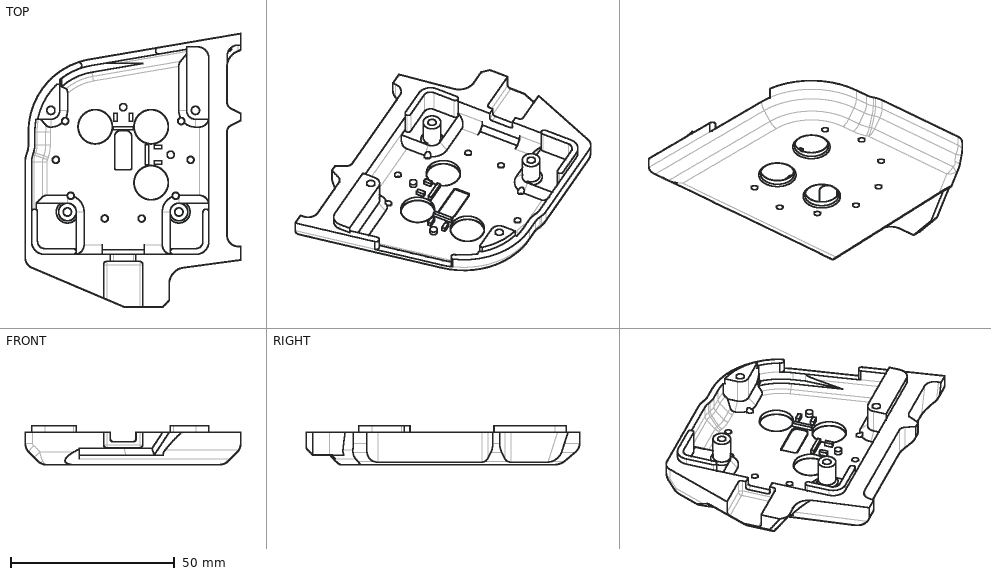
import cadquery as cq
import math

RIM_Z = 10.0
TOP_Z = 12.0
FLOOR_Z = 2.0
PLATFORM_Z = 4.4

LEFT_X = -30.0
UPPER_LEFT_X = -29.0
JOG_TOP_Y = 1.9
JOG_BOTTOM_Y = -1.0
RIGHT_X = 36.0
BACK_CORNER_Y = 37.1
BACK_SLOPE = 0.1707
FRONT_CORNER_Y = -32.2
FRONT_SLOPE = 0.135
SLANT_START_Y = -33.7
SLANT_SLOPE = 0.425
OVERALL_LENGTH = 83.67
NECK_FRONT_Y = BACK_CORNER_Y - OVERALL_LENGTH
BIG_CORNER_R = 22.5
JOG_R = 7.0
SLANT_CORNER_R = 3.5

FAR = 60.0
MID_Z = RIM_Z / 2
TOLERANCE = 0.01

EDGE_CHAMFER = 5.0
EDGE_R = 4.0
FRONT_CHAMFER = 3.0
FRONT_FULL_SLOPE_X = -13.5

WALL = 2.0
POCKET_RIGHT_X = 26.2
POCKET_FRONT_Y = -30.5
POCKET_CHAMFER = EDGE_CHAMFER + math.sqrt(2) * WALL - WALL - FLOOR_Z
POCKET_CHAMFER_R = EDGE_R - WALL
POCKET_FILLET_R = 3.0
POCKET_CORNER_R = 4.0

RIGHT_WALL_X = 31.8
MID_TAB_Y = 11.55
MID_TAB_TIP_HALF = 1.05
MID_TAB_ROOT_HALF = 3.2
MID_TAB_ROOT_R = 2.0
FRONT_TAB_Y = -28.0
FRONT_TAB_R = 3.3
BACK_NOTCH_Y = 33.5
BACK_NOTCH_LEAN = 3.2

NECK_LEFT_X = -20.0
NECK_RIGHT_X = 14.1
NECK_CORNER = 2.0
NECK_ROOT_R = 5.0
NECK_BOTTOM_Z = 3.0
NECK_CHAMFER = 2.0
NECK_LEAN = 4.6
CABLE_HALF_X = 6.0
CABLE_BACK_Y = -32.6
CABLE_FLOOR_Z = 5.2
CABLE_FILLET_R = 1.0
SLOT_HALF_X = 3.9
SLOT_FLOOR_Z = 7.1
SLOT_R = 0.8
LIP_HALF_X = 6.4
LIP_CHAMFER = 1.5

RIM_NOTCH_X = (-13.7, 10.9)
RIM_NOTCH_Z = 6.5
LEDGE_X = (-19.2, 7.0)
LEDGE_Y = (20.0, 27.9)
LEDGE_Z = 3.8

BOSS_D = 5.4
BOSS_R = BOSS_D / 2
BOSS_X = 17.05
BOSS_Y = -17.5
FOOT = 0.7
POST_X = 22.1
POST_Y = 13.55
POST_BACK_Y = 33.0
POST_BACK_R = 3.5
LEFT_POST_BACK_Y = 21.5
LEFT_POST_WALL = 2.5
SKIRT = PLATFORM_Z - FLOOR_Z
SKIRT_ANGLE = 45.0
SCREW_D = 2.5
SCREW_BOTTOM_Z = 4.0
RIB_WIDTH = 1.8
RIB_END_Y = -16.6
RIB_END_X = 14.4

BUTTON_D = 10.4
BUTTON_PITCH = 17.1
BUTTON_CHAMFER = 0.5
SMALL_D = 2.0
SMALL_HOLES = [(17.75, 10.3), (20.6, -1.57), (16.05, -12.55), (5.64, -19.5)]
PEG_D = 2.2
DETAIL_HEIGHT = 1.2
FENCE_HALF = 3.1
FENCE_WIDTH = 1.0
BLOCK = (1.1, 2.4)
BLOCK_OFFSET = 2.4
FENCE_TO_BLOCK = 3.4
BACK_HOLDER = {"fence_y": 8.1, "peg_y": 14.55}
RIGHT_HOLDER = {"fence_y": 7.25, "peg_y": 14.5}
RECESS_HALF_X = 2.6
RECESS_Y = (-4.6, 7.4)
RECESS_DEPTH = 0.5
RECESS_R = (0.5, 1.8)


def box(x0, x1, y0, y1, z0, z1):
    return cq.Workplane("XY").box(x1 - x0, y1 - y0, z1 - z0, centered=False).translate((x0, y0, z0))


def prism(points, z0, z1):
    return cq.Workplane("XY").workplane(offset=z0).polyline(points).close().extrude(z1 - z0)


def back_y(x, inset=0.0):
    """Back edge line, moved inwards by inset."""
    return BACK_CORNER_Y + BACK_SLOPE * (x - RIGHT_X) - inset * math.hypot(1, BACK_SLOPE)


def front_y(x):
    return FRONT_CORNER_Y + FRONT_SLOPE * (x - RIGHT_X)


def slant_y(x):
    return SLANT_START_Y - SLANT_SLOPE * (x - LEFT_X)


def left_back_prism(inset, right_x, z0, z1):
    """Prism with the stepped left side and rounded back corner; it runs on past the front."""
    upper_x = UPPER_LEFT_X + inset
    lower_x = LEFT_X + inset
    points = [
        (lower_x, -FAR),
        (right_x, -FAR),
        (right_x, back_y(right_x, inset)),
        (upper_x, back_y(upper_x, inset)),
        (upper_x, JOG_TOP_Y),
        (lower_x, JOG_BOTTOM_Y),
    ]
    solid = prism(points, z0, z1)
    middle_z = (z0 + z1) / 2
    solid = solid.edges(near(*points[3], middle_z)).fillet(BIG_CORNER_R - inset)
    for jog in points[4:]:
        solid = solid.edges(near(*jog, middle_z)).fillet(JOG_R)
    return solid


def near(x, y, z=MID_Z):
    return cq.selectors.NearestToPointSelector((x, y, z))


def side_edges(solid, z):
    """Edges of the horizontal plane at height z, except the one on the far front end."""
    low = (-FAR - 1, -FAR + 1, z - TOLERANCE)
    high = (FAR + 1, FAR + 1, z + TOLERANCE)
    return solid.edges(cq.selectors.BoxSelector(low, high))


def oblique_prism(solid, shift_x, shift_y):
    """Solid with the same top as a prism, its bottom shifted sideways."""
    low = solid.val().BoundingBox().zmin
    high = solid.val().BoundingBox().zmax
    wire = solid.faces("<Z").wires().val().translate(cq.Vector(shift_x, shift_y, 0))
    return cq.Workplane(cq.Solid.extrudeLinear(wire, [], cq.Vector(-shift_x, -shift_y, high - low)))


def behind_front_line(outset):
    """Block behind the front line moved outwards, with its lower front edge selected."""
    drop = outset * math.hypot(1, FRONT_SLOPE)
    left = (-FAR, front_y(-FAR) - drop)
    right = (FAR, front_y(FAR) - drop)
    block = prism([left, right, (FAR, FAR), (-FAR, FAR)], 0, RIM_Z)
    return block.edges(near(0, front_y(0) - drop, 0))


def make_shell():
    """Solid bowl shape, rounded off on its underside."""
    shell = left_back_prism(0, RIGHT_X, 0, RIM_Z)
    shell = side_edges(shell, 0).chamfer(EDGE_CHAMFER)
    shell = side_edges(shell, EDGE_CHAMFER).fillet(EDGE_R)
    shell = side_edges(shell, 0).fillet(EDGE_R)

    slant = prism([(-FAR, slant_y(-FAR)), (FAR, slant_y(FAR)), (FAR, FAR), (-FAR, FAR)], 0, RIM_Z)
    slant = slant.edges(near(0, slant_y(0), 0)).fillet(EDGE_R)
    front = behind_front_line(0).chamfer(FRONT_CHAMFER)
    front = front.edges(near(0, front_y(0), FRONT_CHAMFER)).fillet(EDGE_R)
    rise = RIM_Z - FRONT_CHAMFER - TOLERANCE
    full_slope = behind_front_line(rise).chamfer(FRONT_CHAMFER + rise)
    front = front.union(full_slope.intersect(box(-FAR, FRONT_FULL_SLOPE_X, -FAR, FAR, 0, RIM_Z)))
    shell = shell.intersect(slant)
    reach = SLANT_CORNER_R
    corner = cq.selectors.BoxSelector(
        (LEFT_X - reach, SLANT_START_Y - reach, TOLERANCE + FRONT_CHAMFER / 2),
        (LEFT_X + reach, SLANT_START_Y + TOLERANCE, RIM_Z),
    )
    shell = shell.edges(corner).fillet(SLANT_CORNER_R)
    return shell.intersect(front)


def make_neck():
    """Cable neck: it follows the slanted side and its right side leans in towards the bottom."""
    inner_y = front_y(RIGHT_X)
    tip_x = LEFT_X + (SLANT_START_Y - NECK_FRONT_Y) / SLANT_SLOPE
    block = prism(
        [
            (NECK_LEFT_X, inner_y),
            (NECK_LEFT_X, slant_y(NECK_LEFT_X)),
            (tip_x, NECK_FRONT_Y),
            (FAR, NECK_FRONT_Y),
            (FAR, inner_y),
        ],
        NECK_BOTTOM_Z,
        RIM_Z,
    )
    middle_x = (NECK_LEFT_X + tip_x) / 2
    block = block.edges(near(middle_x, slant_y(middle_x), NECK_BOTTOM_Z)).chamfer(NECK_CHAMFER)
    block = block.edges(near((tip_x + FAR) / 2, NECK_FRONT_Y, NECK_BOTTOM_Z)).chamfer(NECK_CHAMFER)
    side = prism(
        [
            (-FAR, inner_y),
            (-FAR, NECK_FRONT_Y),
            (NECK_RIGHT_X - NECK_CORNER, NECK_FRONT_Y),
            (NECK_RIGHT_X, NECK_FRONT_Y + NECK_CORNER),
            (NECK_RIGHT_X, front_y(NECK_RIGHT_X)),
            (RIGHT_X, inner_y),
        ],
        NECK_BOTTOM_Z,
        RIM_Z,
    )
    side = side.edges(near(NECK_RIGHT_X, front_y(NECK_RIGHT_X))).fillet(NECK_ROOT_R)
    return block.intersect(oblique_prism(side, -NECK_LEAN, 0))


def right_gaps():
    """Cutter for the gaps between the right-hand tabs; the back end of it leans."""
    beyond = RIGHT_X + WALL
    tab_low = MID_TAB_Y - MID_TAB_ROOT_HALF
    tab_high = MID_TAB_Y + MID_TAB_ROOT_HALF
    front_gap = prism(
        [
            (RIGHT_WALL_X, FRONT_TAB_Y),
            (beyond, FRONT_TAB_Y),
            (beyond, MID_TAB_Y - MID_TAB_TIP_HALF),
            (RIGHT_X, MID_TAB_Y - MID_TAB_TIP_HALF),
            (RIGHT_WALL_X, tab_low),
        ],
        0,
        RIM_Z,
    )
    front_gap = front_gap.edges(near(RIGHT_WALL_X, FRONT_TAB_Y)).fillet(FRONT_TAB_R)
    front_gap = front_gap.edges(near(RIGHT_WALL_X, tab_low)).fillet(MID_TAB_ROOT_R)
    split_y = (tab_high + BACK_NOTCH_Y) / 2
    back_gap = prism(
        [
            (RIGHT_WALL_X, split_y),
            (RIGHT_WALL_X, tab_high),
            (RIGHT_X, MID_TAB_Y + MID_TAB_TIP_HALF),
            (beyond, MID_TAB_Y + MID_TAB_TIP_HALF),
            (beyond, split_y),
        ],
        0,
        RIM_Z,
    )
    back_gap = back_gap.edges(near(RIGHT_WALL_X, tab_high)).fillet(MID_TAB_ROOT_R)
    notch = box(RIGHT_WALL_X, beyond, split_y - BACK_NOTCH_LEAN, BACK_NOTCH_Y, 0, RIM_Z)
    notch = notch.edges(near(RIGHT_WALL_X, BACK_NOTCH_Y)).fillet(FRONT_TAB_R)
    return front_gap.union(back_gap).union(oblique_prism(notch, 0, -BACK_NOTCH_LEAN))


def make_pocket():
    """Pocket with walls parallel to the outside, plus the cable lip and the back ledge."""
    bowl = left_back_prism(WALL, FAR, FLOOR_Z, RIM_Z)
    bowl = side_edges(bowl, FLOOR_Z).chamfer(POCKET_CHAMFER)
    bowl = side_edges(bowl, FLOOR_Z + POCKET_CHAMFER).fillet(POCKET_CHAMFER_R)
    bowl = side_edges(bowl, FLOOR_Z).fillet(POCKET_CHAMFER_R)
    limits = box(-FAR, POCKET_RIGHT_X, POCKET_FRONT_Y, FAR, FLOOR_Z, RIM_Z)
    limits = limits.edges(near(POCKET_RIGHT_X, 0, FLOOR_Z)).fillet(POCKET_FILLET_R)
    limits = limits.edges(near(0, POCKET_FRONT_Y, FLOOR_Z)).fillet(POCKET_FILLET_R)
    lip = box(-LIP_HALF_X, LIP_HALF_X, POCKET_FRONT_Y, POCKET_FRONT_Y + POCKET_FILLET_R, FLOOR_Z, RIM_Z)
    lip = lip.edges(near(0, POCKET_FRONT_Y, FLOOR_Z)).chamfer(LIP_CHAMFER)
    ledge = left_back_prism(WALL, FAR, LEDGE_Z, RIM_Z).intersect(box(*LEDGE_X, *LEDGE_Y, LEDGE_Z, RIM_Z))
    return bowl.intersect(limits).union(lip).union(ledge)


def with_skirt(post):
    """Post standing on a 45 degree skirt."""
    skirt = post.faces("<Z").wires().toPending().offset2D(SKIRT)
    skirt = cq.Workplane("XY").add(skirt.vals()).toPending().extrude(SKIRT, taper=SKIRT_ANGLE)
    return post.union(skirt)


def right_post():
    left_x = POST_X - BOSS_R
    front = POST_Y - BOSS_R
    post = box(left_x, POCKET_RIGHT_X, front, POST_BACK_Y, FLOOR_Z, TOP_Z)
    post = post.edges(near(left_x, front)).fillet(BOSS_R - TOLERANCE)
    post = post.edges(near(POCKET_RIGHT_X, POST_BACK_Y)).fillet(POST_BACK_R)
    post = post.union(box(left_x, POCKET_RIGHT_X, POST_Y, FAR, FLOOR_Z, RIM_Z))
    return with_skirt(post)


def left_post():
    right_x = BOSS_R - POST_X
    front = POST_Y - BOSS_R
    post = box(-FAR, right_x, front, LEFT_POST_BACK_Y, FLOOR_Z, TOP_Z)
    post = post.edges(near(right_x, front)).fillet(BOSS_R - TOLERANCE)
    post = post.union(box(-FAR, right_x, POST_Y, FAR, FLOOR_Z, RIM_Z))
    inside = left_back_prism(LEFT_POST_WALL, FAR, RIM_Z, TOP_Z)
    post = post.cut(box(-FAR, 0, 0, FAR, RIM_Z, TOP_Z).cut(inside))
    return with_skirt(post)


def corner_mount(side, wall_x):
    """Platform, boss and L-shaped rib in a front corner; side is -1 on the left and 1 on the right."""
    inner_x = side * (BOSS_X - BOSS_R)
    back = BOSS_Y + BOSS_R
    x0, x1 = sorted((inner_x, side * FAR))
    platform = box(x0, x1, -FAR, back, FLOOR_Z, PLATFORM_Z)
    platform = platform.edges(near(inner_x, back, PLATFORM_Z / 2)).fillet(BOSS_R)
    footprint = platform.faces("<Z").wires().toPending().extrude(TOP_Z, combine=False)
    mount = with_skirt(platform)

    boss = cq.Workplane("XY").workplane(offset=FLOOR_Z).center(side * BOSS_X, BOSS_Y).circle(BOSS_R)
    boss = boss.extrude(TOP_Z - FLOOR_Z)
    foot = cq.Solid.makeCone(BOSS_R + FOOT, BOSS_R, FOOT, pnt=cq.Vector(side * BOSS_X, BOSS_Y, PLATFORM_Z))
    mount = mount.union(boss).union(cq.Workplane(foot).intersect(footprint))

    x0, x1 = sorted((side * RIB_END_X, wall_x))
    rib = box(x0, x1, POCKET_FRONT_Y, RIB_END_Y, FLOOR_Z, TOP_Z)
    rib = rib.edges(near(wall_x, POCKET_FRONT_Y)).fillet(POCKET_CORNER_R)
    bay_x = wall_x - side * RIB_WIDTH
    bay_y = POCKET_FRONT_Y + RIB_WIDTH
    b0, b1 = sorted((bay_x, 0))
    bay = box(b0, b1, bay_y, 0, FLOOR_Z, TOP_Z)
    bay = bay.edges(near(bay_x, bay_y)).fillet(POCKET_CORNER_R - RIB_WIDTH)
    rib = rib.cut(bay)
    rib = rib.edges("|Z").edges(">Y").fillet(RIB_WIDTH / 2 - TOLERANCE)
    rib = rib.edges("|Z").edges("<X" if side > 0 else ">X").fillet(RIB_WIDTH / 2 - TOLERANCE)
    f0, f1 = sorted((wall_x, wall_x - side * POCKET_CORNER_R))
    corner_fill = box(f0, f1, POCKET_FRONT_Y, POCKET_FRONT_Y + POCKET_CORNER_R, FLOOR_Z, RIM_Z).cut(bay)
    return mount.union(rib).union(corner_fill)


def cable_channel():
    channel = box(-CABLE_HALF_X, CABLE_HALF_X, -FAR, CABLE_BACK_Y, CABLE_FLOOR_Z, RIM_Z)
    channel = channel.edges("|Z").edges(">Y").fillet(CABLE_FILLET_R)
    channel = channel.faces("<Z").edges("not <Y").fillet(CABLE_FILLET_R - TOLERANCE)
    slot = box(-SLOT_HALF_X, SLOT_HALF_X, CABLE_BACK_Y - 1, POCKET_FRONT_Y + 1, SLOT_FLOOR_Z, RIM_Z)
    slot = slot.edges("|Y").edges("<Z").fillet(SLOT_R)
    return channel.union(slot)


def rim_notch():
    left_x, right_x = RIM_NOTCH_X
    middle = WALL / 2
    arc_r = BIG_CORNER_R - middle
    arc_x = UPPER_LEFT_X + BIG_CORNER_R
    arc_y = back_y(arc_x, BIG_CORNER_R)
    left_y = arc_y + math.sqrt(arc_r**2 - (left_x - arc_x) ** 2)
    ends = pins([(left_x, left_y), (right_x, back_y(right_x, middle))], WALL, RIM_NOTCH_Z, RIM_Z)
    return box(left_x, right_x, LEDGE_Y[0], FAR, RIM_NOTCH_Z, RIM_Z).cut(ends)


def pins(points, diameter, z0, z1):
    return cq.Workplane("XY").workplane(offset=z0).pushPoints(points).circle(diameter / 2).extrude(z1 - z0)


def floor_recess():
    low, high = RECESS_Y
    recess = box(-RECESS_HALF_X, RECESS_HALF_X, low, high, FLOOR_Z - RECESS_DEPTH, FLOOR_Z)
    recess = recess.edges("|Z").edges("<Y").fillet(RECESS_R[0])
    return recess.edges("|Z").edges(">Y").fillet(RECESS_R[1])


def led_holder(fence_y, peg_y):
    """Fence, two blocks and a peg on the floor, in line along Y."""
    top = FLOOR_Z + DETAIL_HEIGHT
    holder = box(-FENCE_HALF, FENCE_HALF, fence_y - FENCE_WIDTH / 2, fence_y + FENCE_WIDTH / 2, FLOOR_Z, top)
    width, length = BLOCK
    block_y = fence_y + FENCE_TO_BLOCK
    for x in (-BLOCK_OFFSET, BLOCK_OFFSET):
        holder = holder.union(
            box(x - width / 2, x + width / 2, block_y - length / 2, block_y + length / 2, FLOOR_Z, top)
        )
    return holder.union(pins([(0, peg_y)], PEG_D, FLOOR_Z, top))


def button_holes():
    """Three holes on the corners of a square, widened at the underside."""
    half = BUTTON_PITCH / 2
    radius = BUTTON_D / 2
    centres = [(-half, half), (half, half), (half, -half)]
    holes = pins(centres, BUTTON_D, 0, TOP_Z)
    for x, y in centres:
        cone = cq.Solid.makeCone(radius + BUTTON_CHAMFER, radius, BUTTON_CHAMFER, pnt=cq.Vector(x, y, 0))
        holes = holes.union(cq.Workplane(cone))
    return holes


def both_sides(points):
    return [(side * x, y) for x, y in points for side in (-1, 1)]


shell = make_shell().union(make_neck()).cut(right_gaps())

islands = right_post().union(left_post())
islands = islands.union(corner_mount(-1, LEFT_X + WALL)).union(corner_mount(1, POCKET_RIGHT_X))
cavity = make_pocket().cut(islands)
above_rim = islands.intersect(box(-FAR, FAR, -FAR, FAR, RIM_Z, TOP_Z))
result = shell.cut(cavity).union(above_rim)

result = result.cut(cable_channel()).cut(rim_notch()).cut(floor_recess())
result = result.union(led_holder(**BACK_HOLDER))
result = result.union(led_holder(**RIGHT_HOLDER).rotate((0, 0, 0), (0, 0, 1), -90))

result = result.cut(button_holes())
result = result.cut(pins(both_sides(SMALL_HOLES), SMALL_D, 0, PLATFORM_Z))
result = result.cut(pins(both_sides([(BOSS_X, BOSS_Y), (POST_X, POST_Y)]), SCREW_D, SCREW_BOTTOM_Z, TOP_Z))